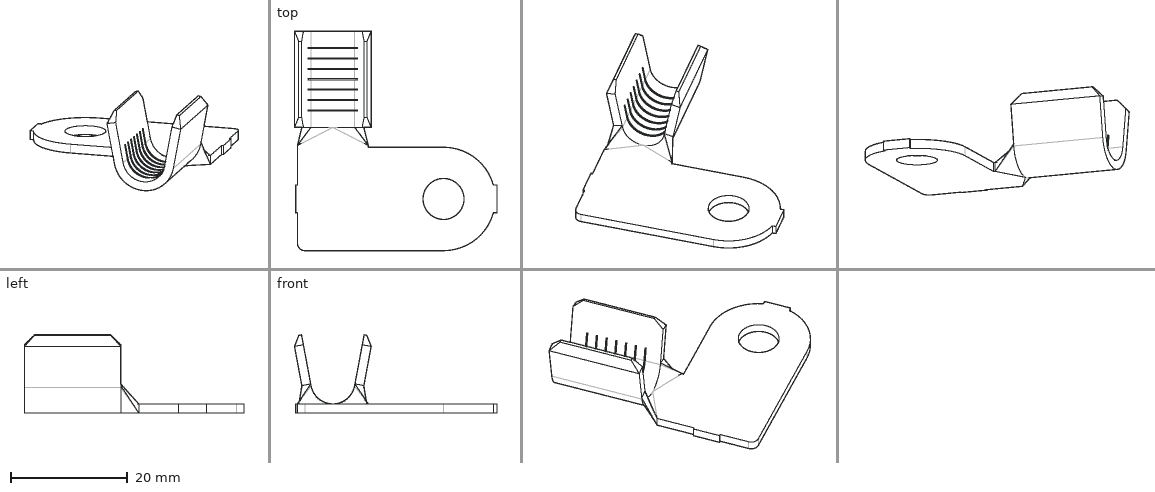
import cadquery as cq
import math

thickness = 1.59
overall_height = 13.46
overall_length = 37.72

plate_width = 17.8
plate_left = -6.1
hole_x = 19.0
hole_diameter = 7.0
corner_radius = 1.3
tab_width = 4.8
left_tab_x = -6.4
right_tab_x = 28.2

barrel_length = 16.55
inner_radius = 3.78
lean_angle = math.radians(10.6)
tip_width = 0.5
taper_height = 1.75

neck_length = 3.1
neck_half_width = -plate_left
neck_wall_rise = 0.35
sliver = 0.01

groove_count = 7
groove_pitch = 1.785
groove_width = 0.2
groove_depth = 0.15
groove_wall_rise = 2.5
groove_overlap = 0.1

plate_middle_y = plate_width / 2
end_radius = plate_width / 2
barrel_start_y = overall_length - barrel_length
barrel_middle_y = overall_length - barrel_length / 2
neck_start_y = barrel_start_y - neck_length
bend_centre_z = thickness + inner_radius
wall_length = (
    overall_height - bend_centre_z + inner_radius * math.sin(lean_angle)
) / math.cos(lean_angle)


def wall_point(offset, rise):
    """(X, Z) on the right wall: offset outward from its inner face, rise along it from the bend."""
    radius = inner_radius + offset
    x = radius * math.cos(lean_angle) + rise * math.sin(lean_angle)
    z = bend_centre_z - radius * math.sin(lean_angle) + rise * math.cos(lean_angle)
    return x, z


def bend_point(offset, angle):
    """(X, Z) on the right bend, at an angle below the horizontal."""
    radius = inner_radius + offset
    return radius * math.cos(angle), bend_centre_z - radius * math.sin(angle)


def mirrored(point):
    return -point[0], point[1]


def channel_outline(y, inner, outer, wall_ends):
    """U-shaped outline between two offsets; wall_ends lists the wall points from outside to inside."""
    mid_angle = (lean_angle + math.pi / 2) / 2
    outer_root = bend_point(outer, math.pi / 2)
    outer_mid = bend_point(outer, mid_angle)
    outer_bend = wall_point(outer, 0)
    inner_root = bend_point(inner, math.pi / 2)
    inner_mid = bend_point(inner, mid_angle)
    inner_bend = wall_point(inner, 0)

    sketch = cq.Workplane("XZ", origin=(0, y, 0)).moveTo(*outer_root)
    sketch = sketch.threePointArc(outer_mid, outer_bend)
    for point in wall_ends:
        sketch = sketch.lineTo(*point)
    sketch = sketch.lineTo(*inner_bend).threePointArc(inner_mid, inner_root)
    sketch = sketch.threePointArc(mirrored(inner_mid), mirrored(inner_bend))
    for point in reversed(wall_ends):
        sketch = sketch.lineTo(*mirrored(point))
    sketch = sketch.lineTo(*mirrored(outer_bend))
    return sketch.threePointArc(mirrored(outer_mid), outer_root).close()


def make_plate():
    """Round-ended plate with its hole and the small tabs left at both ends."""
    outline = (
        cq.Workplane("XY")
        .moveTo(plate_left + corner_radius, 0)
        .lineTo(hole_x, 0)
        .threePointArc((hole_x + end_radius, plate_middle_y), (hole_x, plate_width))
        .lineTo(neck_half_width, plate_width)
        .lineTo(neck_half_width, neck_start_y)
        .lineTo(plate_left, neck_start_y)
        .lineTo(plate_left, corner_radius)
        .radiusArc((plate_left + corner_radius, 0), -corner_radius)
        .close()
        .extrude(thickness)
    )
    tabs = (
        cq.Workplane("XY")
        .center((left_tab_x + right_tab_x) / 2, plate_middle_y)
        .rect(right_tab_x - left_tab_x, tab_width)
        .extrude(thickness)
    )
    hole = cq.Workplane("XY").center(hole_x, plate_middle_y).circle(hole_diameter / 2).extrude(thickness)
    return outline.union(tabs).cut(hole)


def make_neck_fan():
    """Right half of the barrel section, drawn down by ruled faces onto the plate's corner edge."""
    section_points = [
        (0, 0),
        wall_point(thickness, 0),
        wall_point(thickness, neck_wall_rise),
        wall_point(0, neck_wall_rise),
        wall_point(0, 0),
        (0, thickness),
    ]
    bottom = [(neck_half_width - step * sliver, 0) for step in (2, 1, 0)]
    top = [(x, thickness) for x, _ in reversed(bottom)]
    section = [cq.Vector(x, barrel_start_y, z) for x, z in section_points]
    corner = [cq.Vector(x, neck_start_y, z) for x, z in bottom + top]

    bend_middle_angle = (lean_angle + math.pi / 2) / 2
    bend_offsets = {0: thickness, 4: 0}
    section_edges = []
    corner_edges = []
    for index in range(len(section)):
        following = (index + 1) % len(section)
        if index in bend_offsets:
            x, z = bend_point(bend_offsets[index], bend_middle_angle)
            middle = cq.Vector(x, barrel_start_y, z)
            edge = cq.Edge.makeThreePointArc(section[index], middle, section[following])
        else:
            edge = cq.Edge.makeLine(section[index], section[following])
        section_edges.append(edge)
        corner_edges.append(cq.Edge.makeLine(corner[index], corner[following]))

    faces = [cq.Face.makeRuledSurface(*pair) for pair in zip(section_edges, corner_edges)]
    for edges in (section_edges, corner_edges):
        faces.append(cq.Face.makeFromWires(cq.Wire.assembleEdges(edges)))
    return cq.Workplane(cq.Solid.makeSolid(cq.Shell.makeShell(faces)).fix())


def make_neck():
    """Flat triangle running to the barrel root, flanked by the two fans that rise to its walls."""
    triangle = (
        cq.Workplane("XY")
        .polyline([(-neck_half_width, neck_start_y), (neck_half_width, neck_start_y), (0, barrel_start_y)])
        .close()
        .extrude(thickness)
    )
    fan = make_neck_fan()
    return triangle.union(fan).union(fan.mirror("YZ"))


def make_barrel():
    """Open U barrel with leaning walls whose tips taper on the outside."""
    shoulder = wall_length - taper_height
    wall_ends = [
        wall_point(thickness, shoulder),
        wall_point(tip_width, wall_length),
        wall_point(0, wall_length),
    ]
    return channel_outline(barrel_start_y, 0, thickness, wall_ends).extrude(-barrel_length)


def make_tip_corner_cuts():
    """Triangular prisms that bevel the four wall corners as far down as the taper reaches."""
    tip_x, tip_z = wall_point(0, wall_length)
    outward = (math.cos(lean_angle), 0, -math.sin(lean_angle))
    wall_plane = cq.Plane(origin=(tip_x, 0, tip_z), xDir=(0, 1, 0), normal=outward)
    cuts = cq.Workplane("XY")
    for end_y, inward in ((barrel_start_y, 1), (overall_length, -1)):
        prism = (
            cq.Workplane(wall_plane)
            .polyline([(end_y, 0), (end_y + inward * taper_height, 0), (end_y, -taper_height)])
            .close()
            .extrude(thickness)
        )
        cuts = cuts.add(prism).add(prism.mirror("YZ"))
    return cuts.combine()


def make_grooves():
    """Shallow grooves following the inside of the barrel and a little way up its walls."""
    wall_ends = [wall_point(groove_depth, groove_wall_rise), wall_point(-groove_overlap, groove_wall_rise)]
    first_y = barrel_middle_y - groove_pitch * (groove_count - 1) / 2 - groove_width / 2
    grooves = cq.Workplane("XY")
    for index in range(groove_count):
        start_y = first_y + index * groove_pitch
        grooves = grooves.add(
            channel_outline(start_y, -groove_overlap, groove_depth, wall_ends).extrude(-groove_width)
        )
    return grooves.combine()


barrel = make_barrel().cut(make_tip_corner_cuts()).cut(make_grooves())
result = make_plate().union(make_neck()).union(barrel).solids()